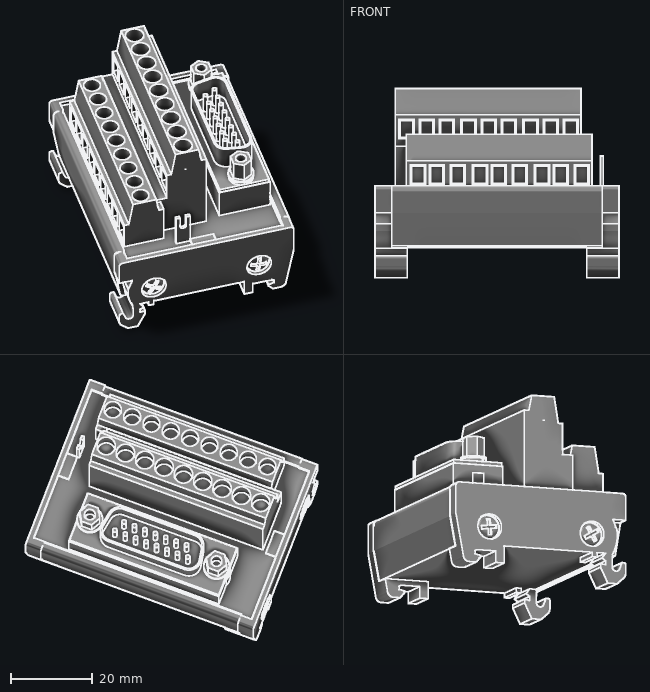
import cadquery as cq

LENGTH = 60.0
HOUSING_DEPTH = 44.95
HOUSING_TOP = 22.7
HOUSING_BOTTOM = 7.45
RAIL_SHIFT = 0.2
RIGHT_CAP_SHIFT = 0.35
REAR_Y = (HOUSING_DEPTH + RIGHT_CAP_SHIFT) / 2

CAP_LENGTH = 4.1
CAP_WALL = 1.3
CAP_ROUND = 0.95
FOOT_LENGTH = 8.0
RAIL_ROUND = 1.45
RIM_WIDTH = 2.4
RAIL_LEDGE_WIDTH = 0.25
RAIL_LEDGE_TOP = 22.25
BOARD_TOP = 21.55
BEND_Z = 16.0
SLOPE_INSET = 1.45
REAR_SLOPE_Z = 14.9
RAIL_WALL = 1.45
CHANNEL_TOP = 14.9
CHANNEL_DEPTH = 2.1
BOTTOM_CHAMFER = 0.4
TAB_BACK = 10.55
TAB_FRONT = 12.8
TAB_BOTTOM = 3.2
STOP_BACK = 36.0
STOP_FRONT = 37.3
STOP_BOTTOM = 6.3
REAR_CLAW_BOTTOM = 2.95
REAR_CLAW_ROOF = 6.05
LEAF_FRONT = 41.35
HOOK_LIP_TOP = 5.4
CLIP_LENGTH = 2.7
CLIP_WIDTH = 6.05
CLIP_DEPTH = 19.45
CLIP_TOP = 22.0

SCREW_DEPTHS_AND_ANGLES = ((8.95, -7.0), (36.0, -30.0))
SCREW_Z = 12.05
SCREW_RECESS_RADIUS = 3.1
SCREW_RECESS_DEPTH = 1.45
SCREW_HEAD_RADIUS = 3.0
SCREW_HEAD_HEIGHT = 1.2
CROSS_LENGTH = 3.95
CROSS_WIDTH = 0.85
CROSS_DEPTH = 0.7

POLES = 9
BLOCK_LENGTH = 45.7
POLE_PITCH = BLOCK_LENGTH / POLES
MODULE_POLES = 3
BLOCK_WIDTH = 10.15
BLOCK_BACK_LEDGE = 1.2
BLOCK_CROWN_START = 2.0
BLOCK_CROWN_END = 7.9
BLOCK_FRONT_LEDGE = 9.0
BACK_LEDGE_DROP = 3.85
FRONT_LEDGE_DROP = 6.55
TERMINAL_CENTER = 5.2
TERMINAL_DEPTH = 6.0
WINDOW_WIDTH = 3.7
WINDOW_HEIGHT = 4.8
WINDOW_DROP = 1.0
WINDOW_DEPTH = 2.4
WINDOW_INSET = 0.35

REAR_BLOCK_X = -2.15
REAR_BLOCK_DEPTH = 20.05
REAR_BLOCK_TOP = 46.6
REAR_BLOCK_STEP_DEPTH = 32.8
REAR_BLOCK_STEP_Z = 32.35
REAR_HOLE_DIAMETER = 4.5
REAR_WINDOW_SHIFTS = (0.25, 0.1, 0.0)

FRONT_BLOCK_X = 0.55
FRONT_BLOCK_DEPTH = 31.8
FRONT_BLOCK_TOP = 35.35
FRONT_HOLE_DIAMETER = 4.15
FRONT_WINDOW_SHIFTS = (0.35, -0.1, 0.0)

CONNECTOR_DEPTH = 9.9
CONNECTOR_LENGTH = 39.5
CONNECTOR_WIDTH = 13.1
CONNECTOR_TOP = 29.35
FLANGE_LENGTH = 39.25
FLANGE_WIDTH = 12.7
FLANGE_TOP = 30.25
BULGE_RADIUS = 3.4
BULGE_TOP = 27.25
SHELL_REAR_LENGTH = 27.25
SHELL_FRONT_LENGTH = 23.9
SHELL_WIDTH = 9.35
SHELL_CORNER = 3.0
SHELL_WALL = 0.4
SHELL_TOP = 36.25
PIN_RADIUS = 0.55
PIN_TOP = 35.4
PIN_ROWS = ((8, 8.65), (7, 11.4))
REAR_PIN_SPAN = 19.2
PIN_PITCH = REAR_PIN_SPAN / (PIN_ROWS[0][0] - 1)

JACK_SPACING = 33.3
JACK_ACROSS_CORNERS = 5.3
JACK_TOP = 36.5
JACK_BOTTOM = 31.5
JACK_HOLE_RADIUS = 1.3
JACK_HOLE_DEPTH = 4.8
WASHER_RADIUS = 3.2
LOCK_WASHER_RADIUS = 3.05
LOCK_WASHER_TOP = 31.1
LOCK_WASHER_GAP = 0.35
LOCK_WASHER_GAP_SHIFT = 1.4

BLADE_X = 25.8
BLADE_DEPTH = 27.65
BLADE_THICKNESS = 0.7
BLADE_WIDTH = 3.55
BLADE_TOP = 30.0
BLADE_NOTCH_WIDTH = 1.55
BLADE_NOTCH_DEPTH = 3.6


def y_at(depth):
    return REAR_Y - depth


def block(x, depth, z_bottom, length, width, z_top):
    """Box centred on x and depth, from z_bottom to z_top."""
    box = cq.Workplane("XY").box(length, width, z_top - z_bottom, centered=(True, True, False))
    return box.translate((x, y_at(depth), z_bottom))


def cylinder(x, depth, z_bottom, radius, z_top):
    disc = cq.Workplane("XY").circle(radius).extrude(z_top - z_bottom)
    return disc.translate((x, y_at(depth), z_bottom))


def side_plane(x):
    """Workplane facing +X whose local axes are (Y, Z)."""
    return cq.Workplane("YZ", origin=(x, 0, 0))


def side_prism(points, x_start, x_end):
    outline = [(y_at(depth), z) for depth, z in points]
    return side_plane(x_start).polyline(outline).close().extrude(x_end - x_start)



def make_rail():
    half = LENGTH / 2 - CAP_LENGTH
    front = HOUSING_DEPTH
    foot_front = front - SLOPE_INSET
    chamfer_front = foot_front + BOTTOM_CHAMFER * SLOPE_INSET / (BEND_Z - HOUSING_BOTTOM)
    rail = side_prism(
        [
            (0, HOUSING_TOP),
            (front, HOUSING_TOP),
            (front, BEND_Z),
            (chamfer_front, HOUSING_BOTTOM + BOTTOM_CHAMFER),
            (foot_front - BOTTOM_CHAMFER, HOUSING_BOTTOM),
            (SLOPE_INSET, HOUSING_BOTTOM),
            (0, REAR_SLOPE_Z),
        ],
        -half,
        half,
    )
    rail = rail.edges("|X").edges(">Z").fillet(RAIL_ROUND)
    channel_front = front - RAIL_WALL
    channel_back = channel_front - CHANNEL_DEPTH
    channel = side_prism(
        [
            (channel_back, CHANNEL_TOP),
            (channel_front, CHANNEL_TOP),
            (channel_front - SLOPE_INSET, HOUSING_BOTTOM),
            (channel_back, HOUSING_BOTTOM),
        ],
        -half,
        half,
    )
    return rail.cut(channel).translate((0, -RAIL_SHIFT, 0))


def cap_outline(workplane):
    """End cap with the fixed rear claw, a locating tab and the springy front claw."""
    def p(depth, z):
        return (y_at(depth), z)

    return (
        workplane.moveTo(*p(CAP_ROUND, HOUSING_TOP))
        .lineTo(*p(HOUSING_DEPTH - CAP_ROUND, HOUSING_TOP))
        .radiusArc(p(HOUSING_DEPTH, HOUSING_TOP - CAP_ROUND), -CAP_ROUND)
        .lineTo(*p(HOUSING_DEPTH, BEND_Z))
        .lineTo(*p(41.5, BEND_Z))
        .lineTo(*p(42.6, 13.3))
        .lineTo(*p(42.65, 11.5))
        .threePointArc(p(42.25, 9.3), p(41.4, 7.25))
        .lineTo(*p(LEAF_FRONT, 4.1))
        .threePointArc(p(42.25, 3.1), p(43.2, 3.6))
        .lineTo(*p(43.9, HOOK_LIP_TOP))
        .lineTo(*p(44.3, HOOK_LIP_TOP))
        .threePointArc(p(44.75, 5.2), p(HOUSING_DEPTH, 4.75))
        .lineTo(*p(HOUSING_DEPTH, 2.95))
        .threePointArc(p(44.8, 2.2), p(44.4, 1.55))
        .lineTo(*p(42.65, 0))
        .lineTo(*p(40.15, 0))
        .lineTo(*p(38.2, 3.85))
        .lineTo(*p(38.2, 4.75))
        .lineTo(*p(39.55, 4.55))
        .lineTo(*p(39.55, 5.5))
        .lineTo(*p(38.65, 6.2))
        .lineTo(*p(39.55, HOUSING_BOTTOM))
        .lineTo(*p(STOP_FRONT, HOUSING_BOTTOM))
        .lineTo(*p(STOP_FRONT, STOP_BOTTOM))
        .lineTo(*p(STOP_BACK, STOP_BOTTOM))
        .lineTo(*p(STOP_BACK, HOUSING_BOTTOM))
        .lineTo(*p(TAB_FRONT, HOUSING_BOTTOM))
        .lineTo(*p(TAB_FRONT, TAB_BOTTOM))
        .lineTo(*p(TAB_BACK, TAB_BOTTOM))
        .lineTo(*p(TAB_BACK, REAR_CLAW_ROOF))
        .lineTo(*p(5.65, REAR_CLAW_ROOF))
        .lineTo(*p(5.1, 5.8))
        .lineTo(*p(5.1, 5.0))
        .lineTo(*p(6.55, 4.7))
        .lineTo(*p(6.55, 4.2))
        .lineTo(*p(5.4, REAR_CLAW_BOTTOM))
        .lineTo(*p(3.35, REAR_CLAW_BOTTOM))
        .threePointArc(p(2.5, 3.3), p(2.0, 4.4))
        .lineTo(*p(0, REAR_SLOPE_Z))
        .lineTo(*p(0, HOUSING_TOP - CAP_ROUND))
        .radiusArc(p(CAP_ROUND, HOUSING_TOP), -CAP_ROUND)
        .close()
    )


def make_cap():
    """Left end cap; the claws run further inward than the wall above them."""
    outer_x = -LENGTH / 2
    cap = cap_outline(side_plane(outer_x)).extrude(CAP_LENGTH)
    foot = cap_outline(side_plane(outer_x)).extrude(FOOT_LENGTH)
    above = block(0, HOUSING_DEPTH / 2, HOUSING_BOTTOM, 2 * LENGTH, 2 * LENGTH, HOUSING_TOP)
    cap = cap.union(foot.cut(above))
    for depth, angle in SCREW_DEPTHS_AND_ANGLES:
        recess = side_plane(outer_x).center(y_at(depth), SCREW_Z)
        cap = cap.cut(recess.circle(SCREW_RECESS_RADIUS).extrude(SCREW_RECESS_DEPTH))
        cap = cap.union(make_screw_head(angle).translate((outer_x, y_at(depth), SCREW_Z)))
    return cap


def make_screw_head(angle):
    """Domed cross-recessed head, seated at the bottom of its recess at x = SCREW_RECESS_DEPTH."""
    crown_x = SCREW_RECESS_DEPTH - SCREW_HEAD_HEIGHT
    head = (
        cq.Workplane("XY")
        .moveTo(SCREW_RECESS_DEPTH, 0)
        .lineTo(SCREW_RECESS_DEPTH, SCREW_HEAD_RADIUS)
        .spline([(crown_x, 0)], tangents=[(-1, 0), (0, -1)], includeCurrent=True)
        .close()
        .revolve(360, (0, 0), (1, 0))
    )
    for arm_angle in (angle, angle + 90):
        arm = cq.Workplane("XY").box(2 * CROSS_DEPTH, CROSS_LENGTH, CROSS_WIDTH)
        head = head.cut(arm.rotate((0, 0, 0), (1, 0, 0), arm_angle).translate((crown_x, 0, 0)))
    return head


def make_housing():
    left_cap = make_cap()
    right_cap = left_cap.mirror("YZ").translate((0, -RIGHT_CAP_SHIFT, 0))
    housing = make_rail().union(left_cap).union(right_cap)
    half_span = LENGTH / 2 - CAP_WALL
    tray_depth = HOUSING_DEPTH - 2 * RIM_WIDTH
    for x_start, x_end, shift in (
        (-half_span, CAP_LENGTH - LENGTH / 2, 0),
        (CAP_LENGTH - LENGTH / 2, LENGTH / 2 - CAP_LENGTH, RAIL_SHIFT),
        (LENGTH / 2 - CAP_LENGTH, half_span, RIGHT_CAP_SHIFT),
    ):
        tray = block(
            (x_start + x_end) / 2,
            HOUSING_DEPTH / 2 + shift,
            BOARD_TOP,
            x_end - x_start,
            tray_depth,
            HOUSING_TOP,
        )
        housing = housing.cut(tray)
    ledge_depth = RAIL_SHIFT + RIM_WIDTH + RAIL_LEDGE_WIDTH / 2
    rail_length = LENGTH - 2 * CAP_LENGTH
    housing = housing.union(
        block(0, ledge_depth, BOARD_TOP, rail_length, RAIL_LEDGE_WIDTH, RAIL_LEDGE_TOP)
    )
    clip_x = half_span - CLIP_LENGTH / 2
    for side, shift in ((-1, 0), (1, RIGHT_CAP_SHIFT)):
        clip_depth = CLIP_DEPTH + CLIP_WIDTH / 2 + shift
        clip = block(side * clip_x, clip_depth, BOARD_TOP, CLIP_LENGTH, CLIP_WIDTH, CLIP_TOP)
        housing = housing.union(clip)
    return housing



def make_terminal_block(x, depth, top, hole_diameter, window_shifts):
    """Nine-pole block with screw holes on the crown and wire windows in front."""
    back_ledge = top - BACK_LEDGE_DROP
    front_ledge = top - FRONT_LEDGE_DROP
    front = depth + BLOCK_WIDTH
    body = side_prism(
        [
            (depth, BOARD_TOP),
            (depth, back_ledge),
            (depth + BLOCK_BACK_LEDGE, back_ledge),
            (depth + BLOCK_CROWN_START, top),
            (depth + BLOCK_CROWN_END, top),
            (depth + BLOCK_FRONT_LEDGE, front_ledge),
            (front, front_ledge),
            (front, BOARD_TOP),
        ],
        x - BLOCK_LENGTH / 2,
        x + BLOCK_LENGTH / 2,
    )
    window_z = front_ledge - WINDOW_DROP - WINDOW_HEIGHT / 2
    for pole in range(POLES):
        pole_x = x + (pole - (POLES - 1) / 2) * POLE_PITCH
        hole_depth = depth + TERMINAL_CENTER
        hole = cylinder(pole_x, hole_depth, top - TERMINAL_DEPTH, hole_diameter / 2, top)
        window_x = pole_x + window_shifts[pole % MODULE_POLES]
        window = make_window().translate((window_x, y_at(front), window_z))
        body = body.cut(hole).cut(window)
    return body


def make_window():
    """Wire entry narrowing inward from y = 0."""
    return (
        cq.Workplane("XZ")
        .rect(WINDOW_WIDTH, WINDOW_HEIGHT)
        .workplane(offset=-WINDOW_DEPTH)
        .rect(WINDOW_WIDTH - 2 * WINDOW_INSET, WINDOW_HEIGHT - 2 * WINDOW_INSET)
        .loft(ruled=True)
    )


def make_rear_block():
    """Tall block with a step along the foot of its front."""
    tall_block = make_terminal_block(
        REAR_BLOCK_X, REAR_BLOCK_DEPTH, REAR_BLOCK_TOP, REAR_HOLE_DIAMETER, REAR_WINDOW_SHIFTS
    )
    step_width = REAR_BLOCK_STEP_DEPTH - REAR_BLOCK_DEPTH
    step_center = REAR_BLOCK_DEPTH + step_width / 2
    step = block(REAR_BLOCK_X, step_center, BOARD_TOP, BLOCK_LENGTH, step_width, REAR_BLOCK_STEP_Z)
    return tall_block.union(step)


def make_front_block():
    return make_terminal_block(
        FRONT_BLOCK_X, FRONT_BLOCK_DEPTH, FRONT_BLOCK_TOP, FRONT_HOLE_DIAMETER, FRONT_WINDOW_SHIFTS
    )



def shell_prism(inset, z_bottom, z_top):
    """D-shaped prism, inset from the shell's outer surface."""
    half_rear = SHELL_REAR_LENGTH / 2
    half_front = SHELL_FRONT_LENGTH / 2
    half_width = SHELL_WIDTH / 2
    outline = [
        (-half_rear, half_width),
        (half_rear, half_width),
        (half_front, -half_width),
        (-half_front, -half_width),
    ]
    profile = cq.Workplane("XY").polyline(outline).close()
    if inset > 0:
        profile = profile.offset2D(-inset)
    prism = profile.extrude(z_top - z_bottom).edges("|Z").fillet(SHELL_CORNER - inset)
    return prism.translate((0, y_at(CONNECTOR_DEPTH), z_bottom))


def make_jack_screw(x):
    hexagon = cq.Workplane("XY").polygon(6, JACK_ACROSS_CORNERS).extrude(JACK_TOP - JACK_BOTTOM)
    jack = hexagon.translate((x, y_at(CONNECTOR_DEPTH), JACK_BOTTOM))
    jack = jack.union(cylinder(x, CONNECTOR_DEPTH, LOCK_WASHER_TOP, WASHER_RADIUS, JACK_BOTTOM))
    lock_washer = cylinder(x, CONNECTOR_DEPTH, FLANGE_TOP, LOCK_WASHER_RADIUS, LOCK_WASHER_TOP)
    gap = block(
        x - LOCK_WASHER_RADIUS,
        CONNECTOR_DEPTH + LOCK_WASHER_GAP_SHIFT,
        FLANGE_TOP,
        LOCK_WASHER_RADIUS,
        LOCK_WASHER_GAP,
        LOCK_WASHER_TOP,
    )
    jack = jack.union(lock_washer.cut(gap))
    hole_bottom = JACK_TOP - JACK_HOLE_DEPTH
    return jack.cut(cylinder(x, CONNECTOR_DEPTH, hole_bottom, JACK_HOLE_RADIUS, JACK_TOP))


def make_connector():
    connector = block(0, CONNECTOR_DEPTH, BOARD_TOP, CONNECTOR_LENGTH, CONNECTOR_WIDTH, CONNECTOR_TOP)
    connector = connector.union(
        block(0, CONNECTOR_DEPTH, CONNECTOR_TOP, FLANGE_LENGTH, FLANGE_WIDTH, FLANGE_TOP)
    )
    connector = connector.union(
        cylinder(-JACK_SPACING / 2, CONNECTOR_DEPTH, BOARD_TOP, BULGE_RADIUS, BULGE_TOP)
    )
    for side in (-1, 1):
        connector = connector.union(make_jack_screw(side * JACK_SPACING / 2))
    connector = connector.union(shell_prism(0, FLANGE_TOP, SHELL_TOP))
    connector = connector.cut(shell_prism(SHELL_WALL, FLANGE_TOP, SHELL_TOP))
    for count, depth in PIN_ROWS:
        for index in range(count):
            pin_x = (index - (count - 1) / 2) * PIN_PITCH
            connector = connector.union(cylinder(pin_x, depth, FLANGE_TOP, PIN_RADIUS, PIN_TOP))
    return connector



def make_blade():
    """Upright blade with a round-bottomed notch leaving two prongs."""
    blade = block(BLADE_X, BLADE_DEPTH, BOARD_TOP, BLADE_THICKNESS, BLADE_WIDTH, BLADE_TOP)
    notch_radius = BLADE_NOTCH_WIDTH / 2
    notch_z = BLADE_TOP - BLADE_NOTCH_DEPTH + notch_radius
    notch = block(BLADE_X, BLADE_DEPTH, notch_z, BLADE_THICKNESS, BLADE_NOTCH_WIDTH, BLADE_TOP)
    notch_floor = (
        side_plane(BLADE_X - BLADE_THICKNESS / 2)
        .center(y_at(BLADE_DEPTH), notch_z)
        .circle(notch_radius)
        .extrude(BLADE_THICKNESS)
    )
    return blade.cut(notch).cut(notch_floor)



result = make_housing()
result = result.union(make_rear_block()).union(make_front_block())
result = result.union(make_connector()).union(make_blade())